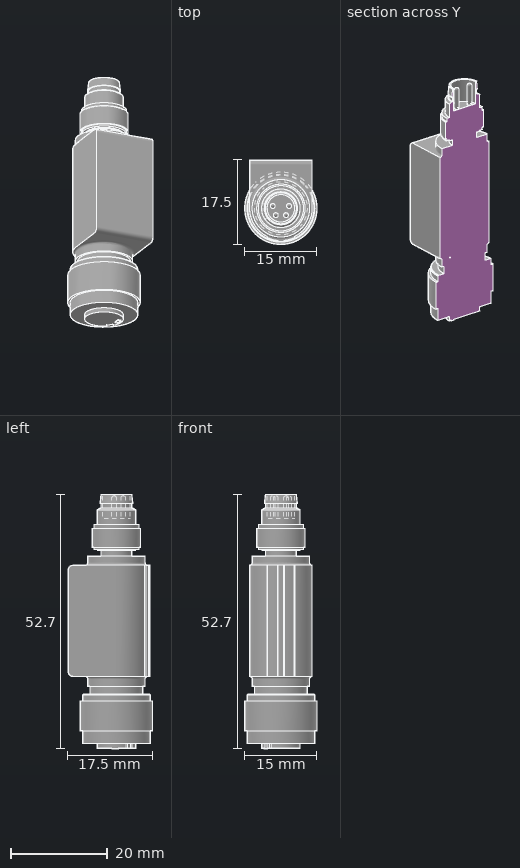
import cadquery as cq
import math


mark_height = 0.15
insert_radius = 4.0
insert_bottom = mark_height
nut_diameter = 15.0
nut_radius = nut_diameter / 2
nut_step_radius = 7.0
nut_bottom = 1.1
knurl_bottom = 3.8
knurl_top = 9.95
nut_top = 11.4
nut_chamfer = 0.15
waist_radius = 5.5

collar_radius = 5.95
body_radius = 6.5
flare_radius = body_radius - collar_radius
lower_collar_bottom = 12.95
body_bottom = 15.0
body_top = 38.05
upper_collar_top = 39.95
overall_depth = 17.5
block_depth = overall_depth - nut_radius
block_fillet = 1.0

pad_radius = 6.7
pad_base_half_width = 2.9
pad_top_half_width = 2.75
strip_radius = 6.9
strip_base_half_width = 0.9
strip_top_half_width = 0.6

neck_radius = 3.2
ring_boss_radius = 3.95
ring_boss_bottom = 41.05
ring_step_radius = 4.7
ring_bottom = 41.25
ring_radius = 5.0
ring_knurl_bottom = 41.75
ring_knurl_top = 45.7
ring_top = 46.5
barrel_radius = 4.0
barrel_shoulder = 49.5
barrel_top = 49.85
barrel_top_radius = 3.4
latch_bottom = 50.85
latch_radius = 3.4
plug_top = 52.7

bore_radius = 2.85
bore_depth = 5.0
pin_radius = 0.5
pin_tip = 52.45
pin_spots = [(-1.7, 0.5), (1.7, 0.5), (-1.05, -1.4), (1.05, -1.4)]

keyway_angle = 225
keyway_width = 1.35
keyway_floor_radius = 3.4
mark_width = 0.75
mark_length = 1.35
mark_x = -3.1
mark_y = 0.25


def disc(radius, bottom, top):
    return cq.Workplane("XY").workplane(offset=bottom).circle(radius).extrude(top - bottom)


def cone(bottom_radius, bottom, top_radius, top):
    outline = [(0, bottom), (bottom_radius, bottom), (top_radius, top), (0, top)]
    return cq.Workplane("XZ").polyline(outline).close().revolve(360, (0, 0, 0), (0, 1, 0))


def collar_flare(body_face, outward):
    """Concave fillet between a housing end face and its collar; outward is +1 up, -1 down."""
    tip = body_face + outward * flare_radius
    bow = flare_radius * (1 - math.sqrt(0.5))
    return (
        cq.Workplane("XZ")
        .moveTo(0, body_face)
        .lineTo(body_radius, body_face)
        .threePointArc((collar_radius + bow, body_face + outward * bow), (collar_radius, tip))
        .lineTo(0, tip)
        .close()
        .revolve(360, (0, 0, 0), (0, 1, 0))
    )


def front_rib(radius, base_half_width, top_half_width):
    """Full-height rib with sloping flanks and a crown that follows the given radius."""
    base_y = -math.sqrt(body_radius**2 - base_half_width**2)
    crown_y = -math.sqrt(radius**2 - top_half_width**2)
    return (
        cq.Workplane("XY")
        .workplane(offset=body_bottom)
        .moveTo(0, 0)
        .lineTo(-base_half_width, base_y)
        .lineTo(-top_half_width, crown_y)
        .threePointArc((0, -radius), (top_half_width, crown_y))
        .lineTo(base_half_width, base_y)
        .close()
        .extrude(body_top - body_bottom)
    )


def make_socket():
    keyway_depth = insert_radius - keyway_floor_radius
    keyway = (
        cq.Workplane("XY")
        .box(2 * keyway_depth, keyway_width, nut_bottom - insert_bottom, centered=(False, True, False))
        .translate((keyway_floor_radius, 0, insert_bottom))
        .rotate((0, 0, 0), (0, 0, 1), keyway_angle)
    )
    mark = (
        cq.Workplane("XY")
        .box(mark_width, mark_length, nut_bottom, centered=(True, True, False))
        .translate((mark_x, mark_y, 0))
    )
    nut_collar = disc(nut_step_radius, nut_bottom, nut_top).faces(">Z").chamfer(nut_chamfer)
    return (
        disc(insert_radius, insert_bottom, nut_bottom)
        .cut(keyway)
        .union(mark)
        .union(nut_collar)
        .union(disc(nut_radius, knurl_bottom, knurl_top))
        .union(disc(waist_radius, nut_top, lower_collar_bottom))
    )


def make_housing():
    block = (
        cq.Workplane("XY")
        .workplane(offset=body_bottom)
        .center(0, block_depth / 2)
        .rect(2 * body_radius, block_depth)
        .extrude(body_top - body_bottom)
        .edges(">Y and |X")
        .fillet(block_fillet)
    )
    return (
        block.union(disc(body_radius, body_bottom, body_top))
        .union(front_rib(pad_radius, pad_base_half_width, pad_top_half_width))
        .union(front_rib(strip_radius, strip_base_half_width, strip_top_half_width))
        .union(disc(collar_radius, lower_collar_bottom, body_bottom))
        .union(disc(collar_radius, body_top, upper_collar_top))
        .union(collar_flare(body_top, 1))
        .union(collar_flare(body_bottom, -1))
    )


def make_plug():
    plug = (
        disc(neck_radius, upper_collar_top, latch_bottom)
        .union(disc(ring_boss_radius, ring_boss_bottom, ring_bottom))
        .union(disc(ring_step_radius, ring_bottom, ring_top))
        .union(disc(ring_radius, ring_knurl_bottom, ring_knurl_top))
        .union(disc(barrel_radius, ring_top, barrel_shoulder))
        .union(cone(barrel_radius, barrel_shoulder, barrel_top_radius, barrel_top))
        .union(cone(latch_radius, latch_bottom, neck_radius, plug_top))
    )
    bore_floor = plug_top - bore_depth
    plug = plug.cut(disc(bore_radius, bore_floor, plug_top))
    dome_center = pin_tip - pin_radius
    for x, y in pin_spots:
        shank = disc(pin_radius, bore_floor, dome_center).translate((x, y, 0))
        dome = cq.Workplane("XY").sphere(pin_radius).translate((x, y, dome_center))
        plug = plug.union(shank).union(dome)
    return plug


result = make_socket().union(make_housing()).union(make_plug())